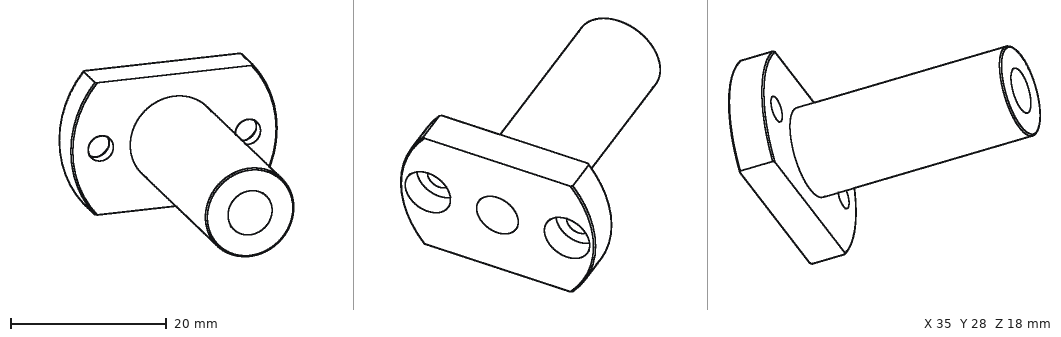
import cadquery as cq

total_length = 35.0
flange_thickness = 5.0
flange_diameter = 28.0
flange_height = 18.0
shaft_diameter = 12.0
bore_diameter = 6.0
edge_chamfer = 0.2

hole_spacing = 20.0
hole_diameter = 3.4
counterbore_diameter = 6.5
counterbore_depth = 3.3


def make_flange():
    """Round disc with chamfered rims, cut to two flats above and below."""
    disc = cq.Workplane("YZ").circle(flange_diameter / 2).extrude(flange_thickness)
    disc = disc.edges().chamfer(edge_chamfer)
    flats = cq.Workplane("YZ").rect(flange_diameter, flange_height).extrude(flange_thickness)
    return disc.intersect(flats)


def make_shaft():
    """Cylinder from the flange face to the chamfered free end."""
    shaft = cq.Workplane("YZ").circle(shaft_diameter / 2).extrude(total_length)
    return shaft.faces(">X").edges().chamfer(edge_chamfer)


def make_mounting_hole(y):
    """Cutter for one through hole, counterbored from the outer flange face."""
    plane = cq.Workplane("YZ").center(y, 0)
    hole = plane.circle(hole_diameter / 2).extrude(flange_thickness)
    counterbore = plane.circle(counterbore_diameter / 2).extrude(counterbore_depth)
    return hole.union(counterbore)


bore = cq.Workplane("YZ").circle(bore_diameter / 2).extrude(total_length)

result = make_flange().union(make_shaft()).cut(bore)
for side in (-1, 1):
    result = result.cut(make_mounting_hole(side * hole_spacing / 2))